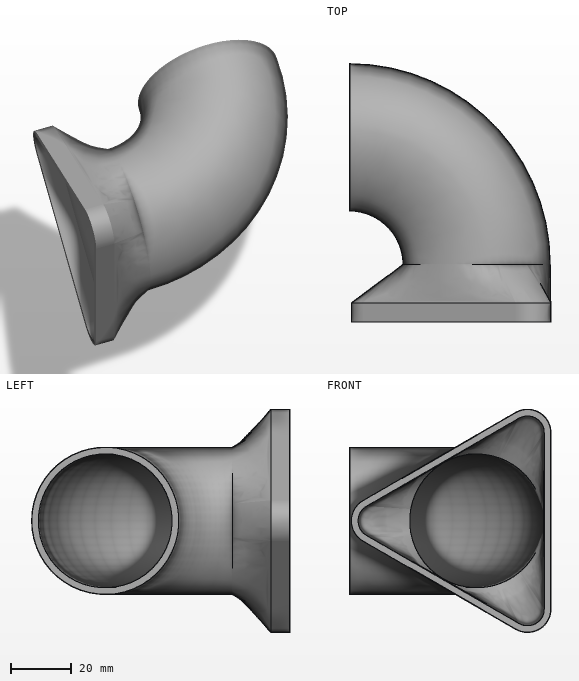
import cadquery as cq
import math

wall = 2.2
pipe_radius = 24.3
bend_radius = 41.9
corner_radius = 7.75
corner_spacing = 58.1
transition_length = 12.7
collar_length = 6.3

transition_start_y = 0
transition_end_y = transition_start_y - transition_length

corner_angles = (180, 300, 60)
corner_half_sweep = 60
corner_centre_distance = corner_spacing / math.sqrt(3)


def polar(radius, degrees):
    angle = math.radians(degrees)
    return radius * math.cos(angle), radius * math.sin(angle)


def section_plane(y):
    """Section facing -Y, centred on the duct axis."""
    return cq.Workplane("XZ", origin=(bend_radius, y, 0))


def triangle_outline(y, radius):
    """Equilateral triangle with rounded corners."""
    corners = []
    for direction in corner_angles:
        centre_x, centre_z = polar(corner_centre_distance, direction)
        points = []
        for turn in (-corner_half_sweep, 0, corner_half_sweep):
            offset_x, offset_z = polar(radius, direction + turn)
            points.append((centre_x + offset_x, centre_z + offset_z))
        corners.append(points)

    first, *others = corners
    outline = section_plane(y).moveTo(*first[0]).threePointArc(*first[1:])
    for start, middle, end in others:
        outline = outline.lineTo(*start).threePointArc(middle, end)
    return outline.close()


def split_circle_outline(y, radius, matching_corner_radius):
    """Circle split in the same length proportions as the matching triangle."""
    arc_length = 2 * math.radians(corner_half_sweep) * matching_corner_radius
    half_sweep = corner_half_sweep * arc_length / (arc_length + corner_spacing)
    next_arc_start = 2 * corner_half_sweep - half_sweep

    outline = section_plane(y).moveTo(*polar(radius, corner_angles[0] - half_sweep))
    for direction in corner_angles:
        outline = outline.threePointArc(
            polar(radius, direction), polar(radius, direction + half_sweep)
        )
        outline = outline.threePointArc(
            polar(radius, direction + corner_half_sweep),
            polar(radius, direction + next_arc_start),
        )
    return outline.close()


def duct(inset):
    """Solid elbow, transition and collar, shrunk all round by the inset."""
    radius = pipe_radius - inset
    corner = corner_radius - inset

    elbow = (
        section_plane(transition_start_y)
        .circle(radius)
        .revolve(90, (-bend_radius, 0), (-bend_radius, 1))
    )
    round_end = split_circle_outline(transition_start_y, radius, corner)
    triangle_end = triangle_outline(transition_end_y, corner)
    transition = cq.Workplane(
        cq.Solid.makeLoft([round_end.val(), triangle_end.val()], True)
    )
    collar = triangle_outline(transition_end_y, corner).extrude(collar_length)
    return elbow.union(transition).union(collar)


result = duct(0).cut(duct(wall))